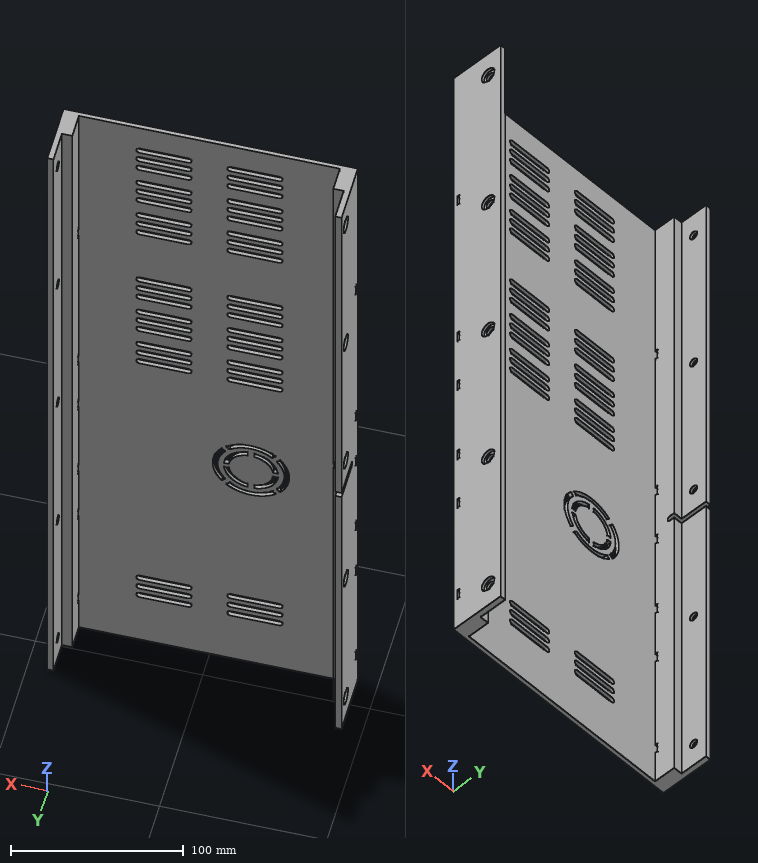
import cadquery as cq

height = 477.0
width = 176.0
depth = 37.5
plate_thickness = 3.0
flange_thickness = 4.0
rib_width = 10.0
rib_depth = 18.0

louvre_length = 33.0
louvre_height = 4.0
louvre_pitch = 2 * louvre_height
louvres_per_bank = 3
bank_offset = 27.0
bank_pitch = 30.0
upper_bank_top_z = 447.5
lower_bank_z = 49.5
upper_bank_steps = (0, 1, 2, 4, 5, 6)

grille_x = -25.0
grille_z = 179.0
ring_outer_radii = (23.0, 16.0)
ring_slot_width = 3.0
bridge_width = 4.0

screw_diameter = 5.5
screw_head_diameter = 10.0
screw_head_depth = 2.0
screw_count = 5
screw_end_margin = 18.5
screw_pitch = (height - 2 * screw_end_margin) / (screw_count - 1)
screw_back_margin = 10.0
screw_y = depth - screw_back_margin

strap_slot_width = 2.0
strap_slot_height = 7.0
strap_slot_z_positions = (368.5, 251.0, 209.0, 149.0, 107.0, 28.0)

notch_height = 4.0
notch_bottom_y = 13.0
notch_z = 218.5


def front_plane(z):
    """Plane on the front face at height z, normal into the part, local x along -X."""
    return cq.Workplane(cq.Plane(origin=(0, 0, z), xDir=(-1, 0, 0), normal=(0, 1, 0)))


def make_channel():
    half = width / 2
    rib_x = half - rib_width
    wall_x = half - flange_thickness
    right_half = [
        (rib_x, plate_thickness),
        (rib_x, rib_depth),
        (wall_x, rib_depth),
        (wall_x, depth),
        (half, depth),
        (half, 0),
    ]
    left_half = [(-x, y) for x, y in reversed(right_half)]
    return cq.Workplane("XY").polyline(right_half + left_half).close().extrude(height)


def make_louvres():
    bank_z_positions = [upper_bank_top_z - step * bank_pitch for step in upper_bank_steps]
    bank_z_positions.append(lower_bank_z)
    centre_row = (louvres_per_bank - 1) / 2
    centres = [
        (side * bank_offset, bank_z + (row - centre_row) * louvre_pitch)
        for bank_z in bank_z_positions
        for side in (-1, 1)
        for row in range(louvres_per_bank)
    ]
    return front_plane(0).pushPoints(centres).slot2D(louvre_length, louvre_height).extrude(plate_thickness)


def make_grille_ring(outer_radius, bridge_angle):
    """Ring slot broken by a cross of two straight bridges."""
    face = front_plane(grille_z).center(-grille_x, 0)
    ring = face.circle(outer_radius).circle(outer_radius - ring_slot_width).extrude(plate_thickness)
    bridge_length = 2 * (outer_radius + bridge_width)
    for angle in (bridge_angle, bridge_angle + 90):
        bridge = face.transformed(rotate=(0, 0, angle)).rect(bridge_length, bridge_width)
        ring = ring.cut(bridge.extrude(plate_thickness))
    return ring


def left_plane():
    """Plane on the left outer face: local x along Y, local y along Z, normal into the part."""
    return cq.Workplane("YZ", origin=(-width / 2, 0, 0))


def make_screw_holes():
    centres = [(screw_y, screw_end_margin + i * screw_pitch) for i in range(screw_count)]
    shanks = left_plane().pushPoints(centres).circle(screw_diameter / 2).extrude(width)
    heads = left_plane().pushPoints(centres).circle(screw_head_diameter / 2).extrude(screw_head_depth)
    return shanks.union(heads).union(heads.mirror("YZ"))


def make_strap_slots():
    slot_y = plate_thickness + strap_slot_width / 2
    centres = [(slot_y, z) for z in strap_slot_z_positions]
    return left_plane().pushPoints(centres).rect(strap_slot_width, strap_slot_height).extrude(width)


def make_notch():
    """Round-bottomed notch; its far end overshoots the back edge."""
    length = 2 * (depth - notch_bottom_y)
    return left_plane().center(depth, notch_z).slot2D(length, notch_height).extrude(rib_width)


result = make_channel().cut(make_louvres())
for ring_radius, first_bridge in zip(ring_outer_radii, (45, 0)):
    result = result.cut(make_grille_ring(ring_radius, first_bridge))
result = result.cut(make_screw_holes()).cut(make_strap_slots()).cut(make_notch())